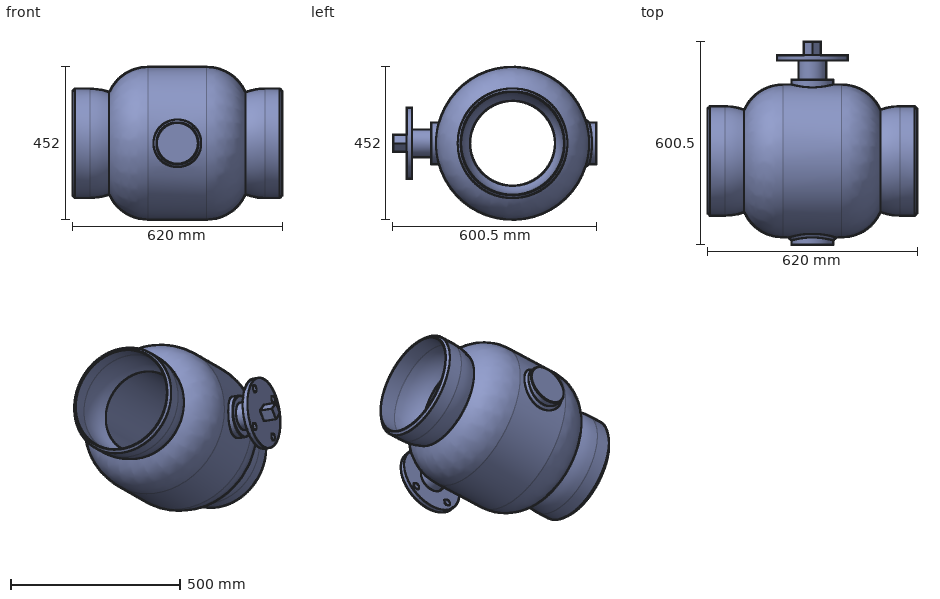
import cadquery as cq
import math

overall_length = 620.0
pipe_outer_radius = 323.9 / 2
pipe_wall = 10.0
pipe_inner_radius = pipe_outer_radius - pipe_wall
end_land = 1.6
end_bevel = pipe_wall - end_land
pipe_straight_length = 52.0
bore_radius = 250.0 / 2

body_radius = 452.0 / 2
body_straight_length = 172.0
neck_x = 201.0

boss_radius = 124.0 / 2
boss_bevel = 1.5
front_boss_end = 248.0
boss_weld = 8.5
back_boss_end = 241.0
stem_radius = 82.5 / 2
flange_radius = 210.0 / 2
flange_thickness = 16.0
flange_hole_radius = 21.0 / 2
flange_hole_circle_radius = 165.0 / 2
flange_hole_count = 4
flange_hole_start_angle = 45.0
square_side = 36.0
square_turn = 45.0
square_height = 40.0
square_end = 352.5
flange_back = square_end - square_height
flange_front = flange_back - flange_thickness

half_length = overall_length / 2
sphere_x = half_length - pipe_straight_length
half_body_straight = body_straight_length / 2


def arc_height(radius, offset):
    """Height of a circle of this radius above its centre, at an offset from the centre."""
    return math.sqrt(radius**2 - offset**2)


neck_radius = arc_height(pipe_outer_radius, sphere_x - neck_x)
dome_length = neck_x - half_body_straight
dome_drop = body_radius - neck_radius
dome_radius = (dome_length**2 + dome_drop**2) / (2 * dome_drop)


def cylinder_y(radius, y_start, y_end):
    """Cylinder on the Y axis between two Y positions."""
    return (
        cq.Workplane("XZ", origin=(0, y_start, 0))
        .circle(radius)
        .extrude(y_start - y_end)
    )


def make_body():
    """Solid of revolution for the domed body, necks and bevelled pipe ends."""
    neck_mid_x = (neck_x + sphere_x) / 2
    neck_mid_radius = arc_height(pipe_outer_radius, sphere_x - neck_mid_x)
    dome_mid_x = (half_body_straight + neck_x) / 2
    dome_mid_radius = body_radius - dome_radius + arc_height(dome_radius, dome_mid_x - half_body_straight)
    bevel_x = half_length - end_bevel
    rim_radius = pipe_outer_radius - end_bevel
    return (
        cq.Workplane("XY")
        .moveTo(-half_length, 0)
        .lineTo(-half_length, rim_radius)
        .lineTo(-bevel_x, pipe_outer_radius)
        .lineTo(-sphere_x, pipe_outer_radius)
        .threePointArc((-neck_mid_x, neck_mid_radius), (-neck_x, neck_radius))
        .threePointArc((-dome_mid_x, dome_mid_radius), (-half_body_straight, body_radius))
        .lineTo(half_body_straight, body_radius)
        .threePointArc((dome_mid_x, dome_mid_radius), (neck_x, neck_radius))
        .threePointArc((neck_mid_x, neck_mid_radius), (sphere_x, pipe_outer_radius))
        .lineTo(bevel_x, pipe_outer_radius)
        .lineTo(half_length, rim_radius)
        .lineTo(half_length, 0)
        .close()
        .revolve(360, (0, 0, 0), (1, 0, 0))
    )


def make_flow_passage():
    """Through bore that widens spherically into each pipe end."""
    flare_x = sphere_x - arc_height(pipe_inner_radius, bore_radius)
    flare_mid_x = (flare_x + sphere_x) / 2
    flare_mid_radius = arc_height(pipe_inner_radius, sphere_x - flare_mid_x)
    return (
        cq.Workplane("XY")
        .moveTo(-half_length, 0)
        .lineTo(-half_length, pipe_inner_radius)
        .lineTo(-sphere_x, pipe_inner_radius)
        .threePointArc((-flare_mid_x, flare_mid_radius), (-flare_x, bore_radius))
        .lineTo(flare_x, bore_radius)
        .threePointArc((flare_mid_x, flare_mid_radius), (sphere_x, pipe_inner_radius))
        .lineTo(half_length, pipe_inner_radius)
        .lineTo(half_length, 0)
        .close()
        .revolve(360, (0, 0, 0), (1, 0, 0))
    )


def add_front_boss(body):
    """Round boss on the -Y side, with a bevelled weld onto the body."""
    boss = cylinder_y(boss_radius, 0, -front_boss_end)
    boss = boss.faces("<Y").chamfer(boss_bevel)
    joined = body.union(boss)
    reach = boss_radius + boss_bevel
    seam_box = cq.selectors.BoxSelector(
        (-reach, -body_radius - boss_bevel, -reach),
        (reach, -bore_radius, reach),
        boundingbox=True,
    )
    return joined.edges(seam_box).chamfer(boss_weld)


def make_stem_side():
    """Boss, stem, drilled flange and square drive end on the +Y side."""
    boss = cylinder_y(boss_radius, bore_radius + pipe_wall, back_boss_end)
    boss = boss.faces(">Y").chamfer(boss_bevel)
    stem = cylinder_y(stem_radius, body_radius, flange_front)
    flange = cylinder_y(flange_radius, flange_front, flange_back)
    holes = (
        cq.Workplane("XZ", origin=(0, flange_front, 0))
        .polarArray(flange_hole_circle_radius, flange_hole_start_angle, 360, flange_hole_count)
        .circle(flange_hole_radius)
        .extrude(-flange_thickness)
    )
    square = (
        cq.Workplane("XZ", origin=(0, flange_back, 0))
        .transformed(rotate=(0, 0, square_turn))
        .rect(square_side, square_side)
        .extrude(-square_height)
    )
    return boss.union(stem).union(flange.cut(holes)).union(square)


body_with_boss = add_front_boss(make_body())
result = body_with_boss.union(make_stem_side()).cut(make_flow_passage())